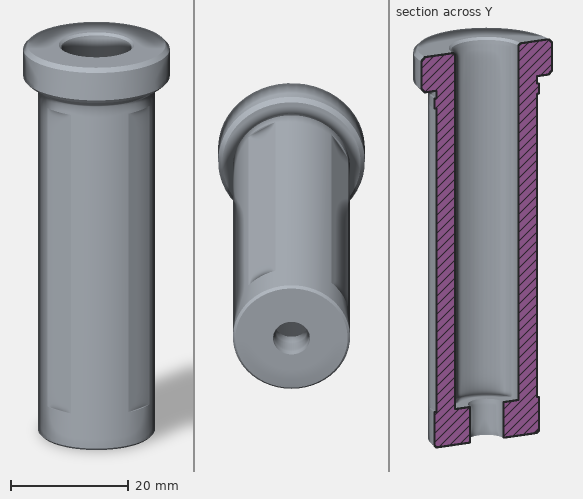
import cadquery as cq
import math

length = 69.85
head_diameter = 25.0
head_height = 6.35
head_chamfer = 0.7

shank_diameter = 20.0
foot_chamfer = 0.4
neck_height = 1.25

flat_count = 4
flat_width = 5.4
flat_bottom = 6.4
flat_top = 60.35

bore_diameter = 12.0
bore_chamfer = 0.4
through_diameter = 6.3
bore_floor = flat_bottom

shank_radius = shank_diameter / 2
flat_distance = math.sqrt(shank_radius**2 - (flat_width / 2) ** 2)
head_bottom = length - head_height
neck_bottom = head_bottom - neck_height


def make_head():
    head = cq.Workplane("XY").workplane(offset=head_bottom).circle(head_diameter / 2).extrude(head_height)
    return head.edges().chamfer(head_chamfer)


def make_shank():
    shank = cq.Workplane("XY").circle(shank_radius).extrude(neck_bottom)
    shank = shank.faces("<Z").edges().chamfer(foot_chamfer)
    neck = cq.Workplane("XY").workplane(offset=neck_bottom).circle(flat_distance).extrude(neck_height)
    return shank.union(neck)


def make_flat_cutter(angle):
    cutter = cq.Workplane("XY").box(
        shank_radius, flat_width, flat_top - flat_bottom, centered=(False, True, False)
    )
    cutter = cutter.translate((flat_distance, 0, flat_bottom))
    return cutter.rotate((0, 0, 0), (0, 0, 1), angle)


def make_bore():
    through_hole = cq.Workplane("XY").circle(through_diameter / 2).extrude(length)
    bore = cq.Workplane("XY").workplane(offset=bore_floor).circle(bore_diameter / 2).extrude(length - bore_floor)
    lead_in = (
        cq.Workplane("XY")
        .workplane(offset=length - bore_chamfer)
        .circle(bore_diameter / 2)
        .workplane(offset=bore_chamfer)
        .circle(bore_diameter / 2 + bore_chamfer)
        .loft(ruled=True)
    )
    return through_hole.union(bore).union(lead_in)


sleeve = make_head().union(make_shank())
for index in range(flat_count):
    sleeve = sleeve.cut(make_flat_cutter(index * 360 / flat_count))

result = sleeve.cut(make_bore())